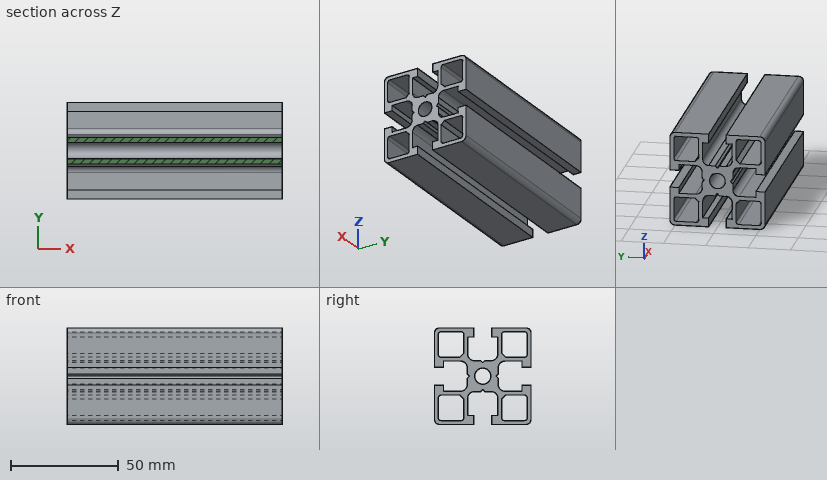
import cadquery as cq

length = 100.0
side = 45.0
corner_radius = 2.5

mouth_width = 8.3
lip_thickness = 4.3
channel_width = 13.9
channel_radius = 3.0
core_width = 14.5

groove_width = 2.0
groove_depth = 1.0

bore_diameter = 7.4

wall = 1.9
chamber_radius = 1.2
chamber_chamfer = 1.8

half_side = side / 2
chamber_outer = half_side - wall
chamber_inner = channel_width / 2 + wall
chamber_size = chamber_outer - chamber_inner
chamber_center = (chamber_outer + chamber_inner) / 2


def bar(width, height, y=0, z=0):
    """Full-length rectangular bar centred at (y, z)."""
    return cq.Workplane("XY").box(length, width, height).translate((0, y, z))


def slot_cutter():
    """T-slot of the +Z side with its floor groove."""
    floor = core_width / 2
    channel_top = half_side - lip_thickness
    channel_height = channel_top - floor
    channel = bar(channel_width, channel_height, z=floor + channel_height / 2)
    channel = channel.faces("<Z").edges("|X").fillet(channel_radius)
    mouth = bar(mouth_width, half_side - floor, z=(half_side + floor) / 2)
    groove = (
        cq.Workplane("YZ", origin=(-length / 2, 0, 0))
        .moveTo(-groove_width / 2, floor)
        .lineTo(0, floor - groove_depth)
        .lineTo(groove_width / 2, floor)
        .close()
        .extrude(length)
    )
    return channel.union(mouth).union(groove)


def chamber_cutter():
    """Corner chamber of the +Y +Z quadrant, with a flat chamfer in its innermost corner."""
    chamber = bar(chamber_size, chamber_size, chamber_center, chamber_center)
    outer_edges = chamber.edges("|X and (>Y or >Z)")
    chamber = outer_edges.fillet(chamber_radius)
    return chamber.edges("|X and <(0, 1, 1)").chamfer(chamber_chamfer)


result = bar(side, side).edges("|X").fillet(corner_radius)
result = result.faces("<X").workplane(centerOption="CenterOfBoundBox").hole(bore_diameter)

quadrant_cutter = slot_cutter().union(chamber_cutter())
for quarter_turn in range(4):
    result = result.cut(quadrant_cutter.rotate((0, 0, 0), (1, 0, 0), 90 * quarter_turn))